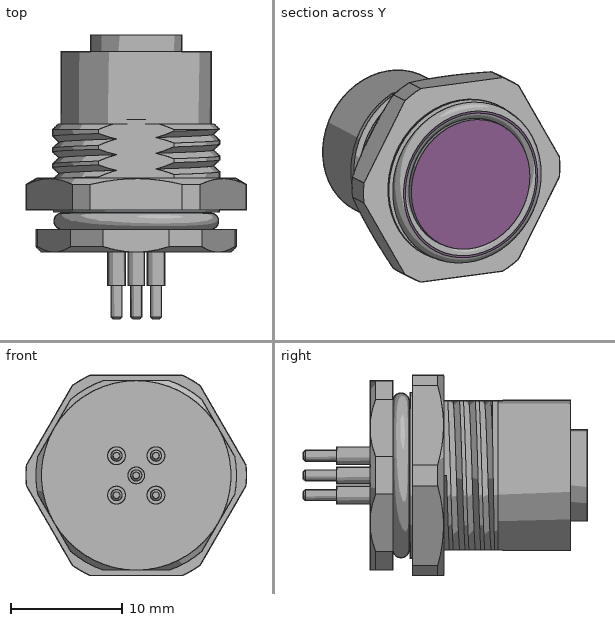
import cadquery as cq
import math


flange_height = 2.05
flange_across_flats = 17.0
flange_corner_diameter = 18.0
flange_chamfer_height = 0.5

ring_section_radius = 0.73
ring_outer_radius = 7.4
ring_center_radius = ring_outer_radius - ring_section_radius
ring_center_height = flange_height + ring_section_radius
neck_radius = 6.0

collar_radius = 7.45
collar_base = 3.6

nut_base = 3.8
nut_height = 2.85
nut_top = nut_base + nut_height
nut_across_flats = 18.0
nut_corner_diameter = 19.8
nut_chamfer_angle = 30.0
nut_face_diameter = 17.8
nut_radial_chamfer = (nut_corner_diameter - nut_face_diameter) / 2
nut_chamfer_height = nut_radial_chamfer * math.tan(math.radians(nut_chamfer_angle))

thread_top = 11.5
thread_major_radius = 7.5
thread_minor_radius = 6.93
thread_pitch = 1.41
thread_crest_width = 0.35
thread_chamfer = 0.5
groove_reference_height = 9.16
groove_end_angle = 135.0
flat_distance = 6.7
flat_top = 11.92

sleeve_radius = 6.75
sleeve_top = 18.0
insert_radius = 4.1
insert_top = 19.5

pin_circle_radius = 2.5
outer_pin_count = 4
outer_pin_collar_radius = 0.8
center_pin_collar_radius = 0.75
pin_collar_length = 3.0
pin_radius = 0.5
pin_length = 6.0
pin_chamfer = 0.2


def cylinder(radius, bottom, top):
    return cq.Workplane("XY").workplane(offset=bottom).circle(radius).extrude(top - bottom)


def hexagon(across_flats, bottom, height):
    """Hexagonal prism with two corners on the X axis and two flats facing +Y and -Y."""
    corner_diameter = across_flats / math.cos(math.pi / 6)
    return cq.Workplane("XY").workplane(offset=bottom).polygon(6, corner_diameter).extrude(height)


def make_flange():
    envelope = cylinder(flange_corner_diameter / 2, 0, flange_height)
    face_radius = flange_across_flats / 2
    radial_chamfer = flange_corner_diameter / 2 - face_radius
    envelope = envelope.faces("<Z").chamfer(flange_chamfer_height, radial_chamfer)
    return hexagon(flange_across_flats, 0, flange_height).intersect(envelope)


def make_nut():
    envelope = cylinder(nut_corner_diameter / 2, nut_base, nut_top)
    envelope = envelope.faces(">Z").chamfer(nut_chamfer_height, nut_radial_chamfer)
    return hexagon(nut_across_flats, nut_base, nut_height).intersect(envelope)


def make_sealing_ring():
    return (
        cq.Workplane("XZ")
        .center(ring_center_radius, ring_center_height)
        .circle(ring_section_radius)
        .revolve(360, (-ring_center_radius, 0), (-ring_center_radius, 1))
    )


def make_thread_groove():
    """V-shaped right-hand helical cutter, running from inside the nut up to an abrupt end."""
    turns_below = 2
    turns_above = 1 + groove_end_angle / 360
    start = groove_reference_height - turns_below * thread_pitch
    length = (turns_below + turns_above) * thread_pitch
    overcut = 0.2
    half_mouth = (thread_pitch - thread_crest_width) / 2
    depth = thread_major_radius - thread_minor_radius
    half_outer = half_mouth * (depth + overcut) / depth
    outer_radius = thread_major_radius + overcut
    path = cq.Wire.makeHelix(thread_pitch, length, thread_minor_radius).translate(cq.Vector(0, 0, start))
    corners = [
        (thread_minor_radius, start),
        (outer_radius, start + half_outer),
        (outer_radius, start - half_outer),
    ]
    profile = cq.Workplane("XZ").polyline(corners).close()
    return profile.sweep(cq.Workplane(path), isFrenet=True)


def cut_flats(body):
    """Trim the thread to two flats that run out a little way into the sleeve."""
    width = 2 * thread_major_radius
    height = flat_top - nut_top
    for side in (-1, 1):
        block = cq.Workplane("XY").box(width, width, height, centered=(True, True, False))
        body = body.cut(block.translate((0, side * (flat_distance + width / 2), nut_top)))
    return body


def make_threaded_sleeve():
    thread = cylinder(thread_major_radius, nut_base, thread_top).faces(">Z").chamfer(thread_chamfer)
    thread = thread.cut(make_thread_groove())
    sleeve = cylinder(sleeve_radius, nut_base, sleeve_top)
    return cut_flats(thread.union(sleeve))


def make_pin(x, y, pin_collar_radius):
    pin = cylinder(pin_radius, -pin_length, 0).faces("<Z").chamfer(pin_chamfer)
    pin = pin.union(cylinder(pin_collar_radius, -pin_collar_length, flange_height / 2))
    return pin.translate((x, y, 0))


def make_connector():
    body = make_threaded_sleeve()
    body = body.union(cylinder(neck_radius, flange_height / 2, nut_top))
    body = body.union(cylinder(collar_radius, collar_base, nut_base))
    body = body.union(make_nut())
    body = body.union(make_flange())
    body = body.union(make_sealing_ring())
    body = body.union(cylinder(insert_radius, sleeve_top, insert_top))
    body = body.union(make_pin(0, 0, center_pin_collar_radius))
    for index in range(outer_pin_count):
        angle = 2 * math.pi * (index + 0.5) / outer_pin_count
        x = pin_circle_radius * math.cos(angle)
        y = pin_circle_radius * math.sin(angle)
        body = body.union(make_pin(x, y, outer_pin_collar_radius))
    return body


result = make_connector().rotate((0, 0, 0), (1, 0, 0), -90)